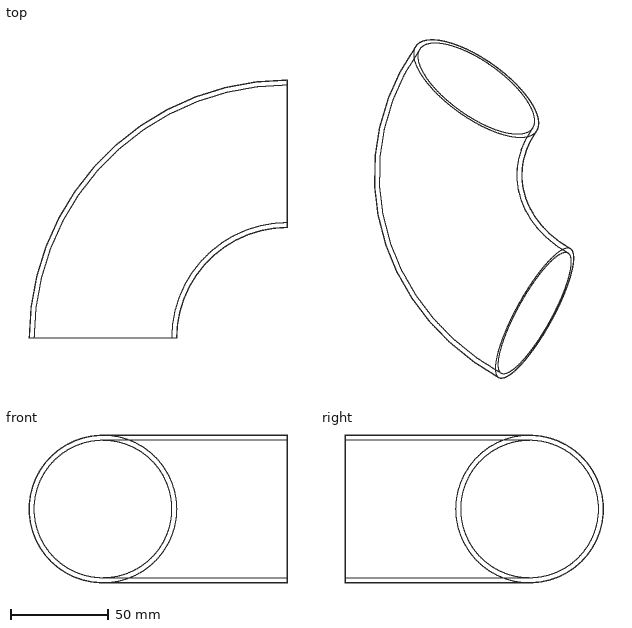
import cadquery as cq

overall_length = 133.0
outer_diameter = 76.1
inner_diameter = 70.9
bend_angle = 90.0

bend_radius = overall_length - outer_diameter / 2

pipe_section = (
    cq.Workplane("XZ")
    .circle(outer_diameter / 2)
    .circle(inner_diameter / 2)
)

result = pipe_section.revolve(bend_angle, (bend_radius, 0, 0), (bend_radius, -1, 0))